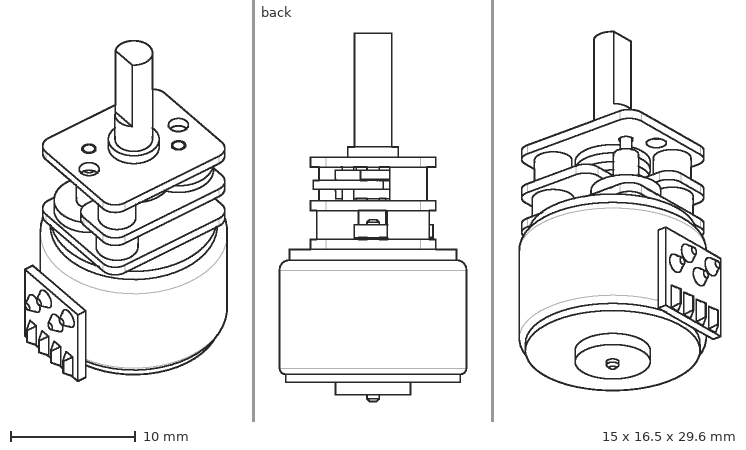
import cadquery as cq
import math

total_height = 29.55
hub_base = 0.53
rim_base = 1.55
can_base = 2.2
can_top = 11.35
boss_seat = 12.2
can_radius = 7.5
front_rim_radius = 6.7
rear_rim_radius = 7.0
rear_hub_radius = 3.0
front_round = can_radius - front_rim_radius
rear_round = can_radius - rear_rim_radius

spindle_radius = 0.5
spindle_top = 14.6
tip_taper = 0.25

plate_width = 10.05
plate_length = 11.97
plate_corner = 1.25
plate_thickness = 0.8
middle_plate_base = 15.3
top_plate_base = 18.8
top_plate_top = top_plate_base + plate_thickness
notch_edge_x = 0.03
notch_edge_y = -1.5
post_x = 2.85
post_y = 3.85
lower_post_radius = 1.68
upper_post_radius = 1.5
mounting_hole_y = 4.5
mounting_hole_radius = 0.8

idler_x = 2.0
idler_y = 2.98
idler_gear_radius = 2.8
centre_gear_radius = 3.0
drive_gear_radius = 1.5
pinion_radius = 1.0
axle_radius = 0.47
axle_clearance = 0.1
first_gear_base = 13.15
first_gear_top = 14.18
first_pinion_top = 17.45
second_gear_base = 16.28
third_gear_base = 17.02
third_gear_top = 17.73
output_gear_base = 17.82
output_gear_top = 18.55

output_radius = 1.5
output_flat_y = -1.0
output_flat_base = 23.05
collar_radius = 2.05
collar_top = 20.42

board_width = 7.03
board_height = 7.03
board_thickness = 0.8
board_face_y = -can_radius - board_thickness
solder_height = 0.68
solder_base_radius = 0.77
solder_tip_radius = 0.3
solder_pitch = 1.5
solder_lower_z = 5.82
pad_count = 4
pad_pitch = 1.6
pad_width = 0.85
pad_length = 2.05
pad_height = 0.62
pad_inset = 0.38
pad_edge_gap = 0.05
pad_centre_z = rim_base + pad_edge_gap + pad_length / 2


def cylinder(radius, base, top, x=0.0, y=0.0):
    return cq.Workplane("XY", origin=(x, y, base)).circle(radius).extrude(top - base)


def plate(base):
    blank = cq.Workplane("XY", origin=(0, 0, base)).rect(plate_width, plate_length).extrude(plate_thickness)
    return blank.edges("|Z").fillet(plate_corner)


def motor_can():
    can = cylinder(can_radius, can_base, can_top)
    can = can.faces(">Z").edges().fillet(front_round).faces("<Z").edges().fillet(rear_round)
    return (
        can.union(cylinder(front_rim_radius, can_base, boss_seat))
        .union(cylinder(rear_rim_radius, rim_base, can_base + rear_round))
        .union(cylinder(rear_hub_radius, hub_base, can_top))
    )


def motor_spindle():
    return cylinder(spindle_radius, 0, spindle_top).faces("<Z or >Z").edges().chamfer(tip_taper)


def middle_plate():
    """A plate with its front left corner stepped away to clear the first pinion."""
    left = -plate_width / 2
    right = plate_width / 2
    front = -plate_length / 2
    back = plate_length / 2
    outline = [
        (left, back),
        (left, notch_edge_y),
        (notch_edge_x, notch_edge_y),
        (notch_edge_x, front),
        (right, front),
        (right, back),
    ]
    blank = cq.Workplane("XY", origin=(0, 0, middle_plate_base)).polyline(outline).close()
    return blank.extrude(plate_thickness).edges("|Z").fillet(plate_corner)


def top_plate():
    """A plate with two mounting holes and a clearance bore for each idler axle."""
    bores = (
        cq.Workplane("XY", origin=(0, 0, top_plate_base))
        .pushPoints([(0, -mounting_hole_y), (0, mounting_hole_y)])
        .circle(mounting_hole_radius)
        .pushPoints([(-idler_x, -idler_y), (idler_x, idler_y)])
        .circle(axle_radius + axle_clearance)
        .extrude(plate_thickness)
    )
    return plate(top_plate_base).cut(bores)


def posts():
    pairs = cq.Workplane("XY")
    for side in (-1, 1):
        x = side * post_x
        y = -side * post_y
        pairs = pairs.union(cylinder(lower_post_radius, boss_seat, middle_plate_base, x, y))
        pairs = pairs.union(cylinder(upper_post_radius, middle_plate_base, top_plate_base, x, y))
    return pairs


def first_idler():
    x = -idler_x
    y = -idler_y
    return (
        cylinder(axle_radius, boss_seat, top_plate_top, x, y)
        .union(cylinder(idler_gear_radius, first_gear_base, first_gear_top, x, y))
        .union(cylinder(pinion_radius, first_gear_top, first_pinion_top, x, y))
    )


def second_idler():
    x = idler_x
    y = idler_y
    return (
        cylinder(axle_radius, middle_plate_base, top_plate_top, x, y)
        .union(cylinder(idler_gear_radius, third_gear_base, third_gear_top, x, y))
        .union(cylinder(pinion_radius, third_gear_top, output_gear_top, x, y))
    )


def centre_gears():
    return (
        cylinder(drive_gear_radius, first_gear_base, first_gear_top)
        .union(cylinder(spindle_radius, middle_plate_base, top_plate_base))
        .union(cylinder(centre_gear_radius, second_gear_base, third_gear_base))
        .union(cylinder(drive_gear_radius, third_gear_base, third_gear_top))
        .union(cylinder(centre_gear_radius, output_gear_base, output_gear_top))
    )


def output_shaft():
    """A D-shaped shaft with the collar that carries it."""
    flat_depth = output_radius + output_flat_y
    flat_cut = cq.Workplane("XY").box(
        2 * output_radius, flat_depth, total_height - output_flat_base, centered=(True, False, False)
    ).translate((0, -output_radius, output_flat_base))
    shaft = cylinder(output_radius, top_plate_base, total_height).cut(flat_cut)
    return shaft.union(cylinder(collar_radius, top_plate_base, collar_top))


def make_gearmotor():
    """The motor can, the gearbox plates and the gear train as one solid."""
    parts = [
        motor_spindle(), plate(boss_seat), middle_plate(), top_plate(), posts(),
        centre_gears(), first_idler(), second_idler(), output_shaft(),
    ]
    gearmotor = motor_can()
    for part in parts:
        gearmotor = gearmotor.union(part)
    return gearmotor


def solder_cone(x, z):
    cone = cq.Solid.makeCone(
        solder_base_radius, solder_tip_radius, solder_height,
        cq.Vector(x, board_face_y, z), cq.Vector(0, -1, 0),
    )
    return cq.Workplane(cone)


def contact_pad(x):
    """A hipped ridge standing on the board face."""
    slope = math.degrees(math.atan(pad_inset / pad_height))
    base = cq.Workplane("XZ", origin=(x, board_face_y, pad_centre_z)).rect(pad_width, pad_length)
    return base.extrude(pad_height, taper=slope)


def make_terminal_board():
    """A plain board touching the can, with staggered solder cones above a row of contact pads."""
    board = cq.Workplane("XY").box(
        board_width, board_thickness, board_height, centered=(True, False, False)
    ).translate((0, board_face_y, rim_base))
    for index in range(pad_count):
        offset = index - (pad_count - 1) / 2
        cone_z = solder_lower_z + (index % 2) * solder_pitch
        board = board.union(solder_cone(offset * solder_pitch, cone_z))
        board = board.union(contact_pad(offset * pad_pitch))
    return board


gearmotor = make_gearmotor()
terminal_board = make_terminal_board()
result = cq.Compound.makeCompound([gearmotor.val(), terminal_board.val()])